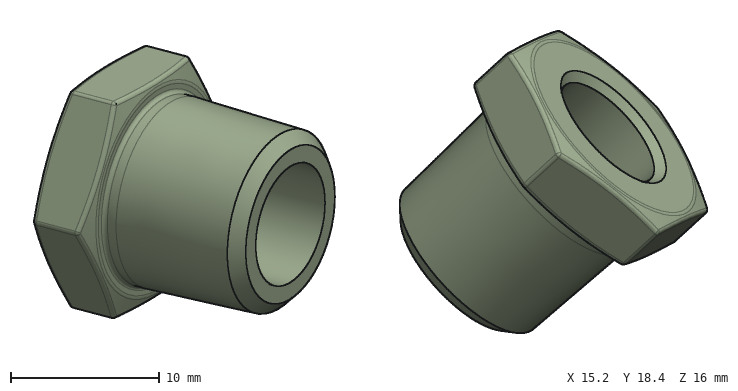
import cadquery as cq
import math

WIDTH_ACROSS_CORNERS = 18.38
HEAD_LENGTH = 4.5
HEAD_EDGE_RADIUS = 0.31
FACE_DIAMETER = 14.98
HEAD_CONE_ANGLE = 15.0
FACE_RIM_RADIUS = 1.0

TOTAL_LENGTH = 15.2
NECK_DIAMETER = 13.38
NECK_LENGTH = 1.0
NECK_FILLET = 0.3
TAPER_RATIO = 16.0
TIP_CHAMFER = 0.9

BORE_DIAMETER = 8.57
COUNTERSINK_DIAMETER = 9.7

SHARP_CORNER_RATIO = 1 / math.cos(math.radians(30))
CORNER_LOSS = 2 * HEAD_EDGE_RADIUS * (SHARP_CORNER_RATIO - 1)
SHARP_WIDTH = WIDTH_ACROSS_CORNERS + CORNER_LOSS


def revolve_about_x(profile):
    """Revolve a closed (x, radius) profile about the X axis."""
    return cq.Workplane("XY").polyline(profile).close().revolve(360, (0, 0, 0), (1, 0, 0))


def make_head():
    """Hexagon with rounded edges, turned to a shallow cone on both ends."""
    hexagon = cq.Workplane("YZ").polygon(6, SHARP_WIDTH).extrude(HEAD_LENGTH)
    hexagon = hexagon.edges("|X").fillet(HEAD_EDGE_RADIUS)

    face_radius = FACE_DIAMETER / 2
    outer_radius = SHARP_WIDTH / 2
    cone_depth = (outer_radius - face_radius) * math.tan(math.radians(HEAD_CONE_ANGLE))
    turned_blank = revolve_about_x([
        (0, 0),
        (0, face_radius),
        (cone_depth, outer_radius),
        (HEAD_LENGTH - cone_depth, outer_radius),
        (HEAD_LENGTH, face_radius),
        (HEAD_LENGTH, 0),
    ])
    turned_blank = turned_blank.faces("<X or >X").edges().fillet(FACE_RIM_RADIUS)
    head = hexagon.intersect(turned_blank)

    return head.edges("not(|X)").edges("not(%CIRCLE)").fillet(HEAD_EDGE_RADIUS)


def make_spigot():
    """Short cylindrical neck, then a slight taper ending in a 45 degree chamfer."""
    neck_radius = NECK_DIAMETER / 2
    neck_end = HEAD_LENGTH + NECK_LENGTH
    chamfer_start = TOTAL_LENGTH - TIP_CHAMFER
    overlap_start = HEAD_LENGTH / 2
    taper_end_radius = neck_radius - (chamfer_start - neck_end) / (2 * TAPER_RATIO)
    return revolve_about_x([
        (overlap_start, 0),
        (overlap_start, neck_radius),
        (neck_end, neck_radius),
        (chamfer_start, taper_end_radius),
        (TOTAL_LENGTH, taper_end_radius - TIP_CHAMFER),
        (TOTAL_LENGTH, 0),
    ])


def make_bore():
    """Cutter for the through bore and its countersink."""
    bore_radius = BORE_DIAMETER / 2
    countersink_radius = COUNTERSINK_DIAMETER / 2
    return revolve_about_x([
        (0, 0),
        (0, countersink_radius),
        (countersink_radius - bore_radius, bore_radius),
        (TOTAL_LENGTH, bore_radius),
        (TOTAL_LENGTH, 0),
    ])


def fillet_neck(body):
    """Fillet the concave corner where the neck meets the back of the head."""
    neck_radius = NECK_DIAMETER / 2
    corner_box = cq.selectors.BoxSelector(
        (HEAD_LENGTH - NECK_FILLET, -neck_radius - NECK_FILLET, -neck_radius - NECK_FILLET),
        (HEAD_LENGTH + NECK_FILLET, neck_radius + NECK_FILLET, neck_radius + NECK_FILLET),
        boundingbox=True,
    )
    return body.edges(corner_box).fillet(NECK_FILLET)


body = fillet_neck(make_head().union(make_spigot()))
result = body.cut(make_bore())